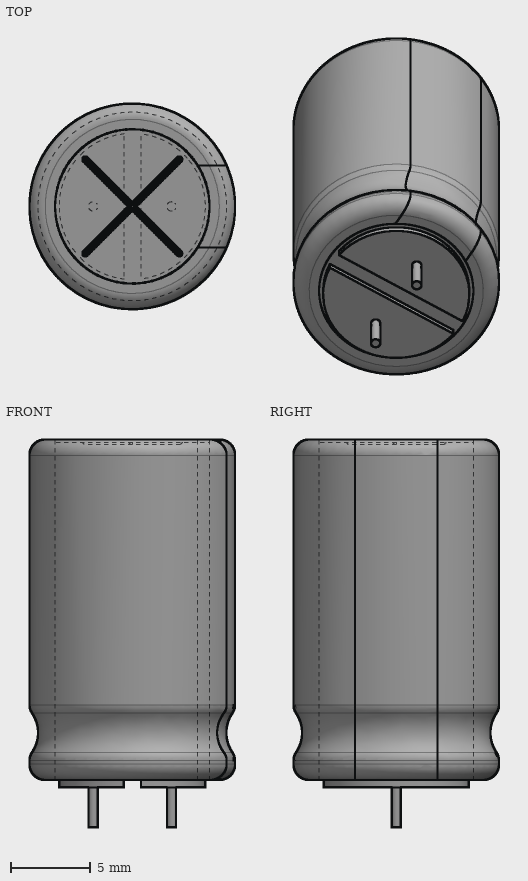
import cadquery as cq
import math

total_height = 24.5
can_radius = 6.502
core_radius = 9.75 / 2

lead_diameter = 0.6
lead_spacing = 4.95
lead_length = 2.52
foot_height = 0.47
foot_diameter = 9.24
foot_gap = 1.08

can_bottom = lead_length + foot_height
edge_radius = 1.0
neck_center_height = 5.98
neck_radius = 5.95
neck_half_height = 1.25
shoulder_height = 0.51

stripe_width = 5.2

recess_depth = 0.2
vent_length = 8.77
vent_width = 0.37
vent_depth = 0.12
vent_wall_taper = 45.0

shoulder_half_height = neck_half_height + shoulder_height
bend_angle = 2 * math.atan((can_radius - neck_radius) / shoulder_half_height)
neck_arc_radius = neck_half_height / math.sin(bend_angle)
shoulder_arc_radius = shoulder_height / math.sin(bend_angle)
join_radius = neck_radius + neck_arc_radius * (1 - math.cos(bend_angle))
shoulder_mid_radius = can_radius - shoulder_arc_radius * (1 - math.cos(bend_angle / 2))
shoulder_mid_height = shoulder_half_height - shoulder_arc_radius * math.sin(bend_angle / 2)


def make_jacket():
    """Full ring around the core, with rounded rims and a rolled neck."""
    z = neck_center_height
    corner_offset = edge_radius * (1 - math.sqrt(0.5))
    rim_radius = can_radius - edge_radius
    return (
        cq.Workplane("XZ")
        .moveTo(core_radius, can_bottom)
        .lineTo(rim_radius, can_bottom)
        .threePointArc(
            (can_radius - corner_offset, can_bottom + corner_offset),
            (can_radius, can_bottom + edge_radius),
        )
        .lineTo(can_radius, z - shoulder_half_height)
        .threePointArc(
            (shoulder_mid_radius, z - shoulder_mid_height),
            (join_radius, z - neck_half_height),
        )
        .threePointArc((neck_radius, z), (join_radius, z + neck_half_height))
        .threePointArc(
            (shoulder_mid_radius, z + shoulder_mid_height),
            (can_radius, z + shoulder_half_height),
        )
        .lineTo(can_radius, total_height - edge_radius)
        .threePointArc(
            (can_radius - corner_offset, total_height - corner_offset),
            (rim_radius, total_height),
        )
        .lineTo(core_radius, total_height)
        .close()
        .revolve(360, (0, 0, 0), (0, 1, 0))
    )


def make_stripe_zone():
    """Box on the +X side that bounds the polarity stripe."""
    return cq.Workplane("XY").box(
        2 * can_radius, stripe_width, total_height, centered=(False, True, False)
    )


def make_sleeve():
    """Jacket without the part taken by the polarity stripe."""
    return make_jacket().cut(make_stripe_zone())


def make_stripe():
    """Polarity stripe, flush with the sleeve on every side."""
    return make_jacket().intersect(make_stripe_zone())


def make_vent_groove(angle):
    """Cutter for one round-ended vent groove with sloping walls across the recessed top."""
    return (
        cq.Workplane("XY", origin=(0, 0, total_height - recess_depth))
        .slot2D(vent_length, vent_width, angle)
        .extrude(-vent_depth, taper=vent_wall_taper)
    )


def make_feet():
    """Two standoff segments: a disc split by a gap along Y."""
    foot_plane = cq.Workplane("XY", origin=(0, 0, lead_length))
    disc = foot_plane.circle(foot_diameter / 2).extrude(foot_height)
    gap = foot_plane.rect(foot_gap, foot_diameter).extrude(foot_height)
    return disc.cut(gap)


def make_leads():
    """Two round leads that end at the underside of the core."""
    lead_x = lead_spacing / 2
    return (
        cq.Workplane("XY")
        .pushPoints([(-lead_x, 0), (lead_x, 0)])
        .circle(lead_diameter / 2)
        .extrude(can_bottom)
    )


def make_core():
    """Core that fills the sleeve bore and carries the feet and leads."""
    core_height = total_height - recess_depth - can_bottom
    core = cq.Workplane("XY", origin=(0, 0, can_bottom)).circle(core_radius).extrude(core_height)
    core = core.union(make_feet()).union(make_leads())
    for angle in (45, -45):
        core = core.cut(make_vent_groove(angle))
    return core


sleeve = make_sleeve()
stripe = make_stripe()
core = make_core()

result = cq.Compound.makeCompound([sleeve.val(), stripe.val(), core.val()])